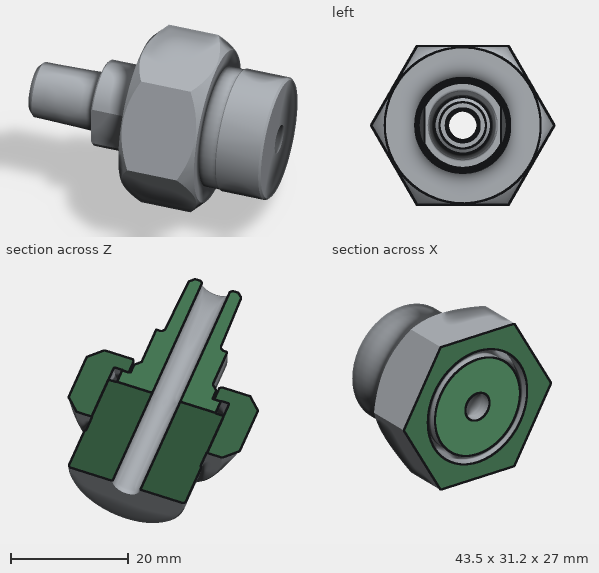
import cadquery as cq
import math

tip_x = 0.0
cone_end_x = 11.2
shoulder_x = 11.95
nut_front_x = 19.0
flange_front_x = 21.75
flange_back_x = 24.35
nut_back_x = 32.5
collar_x = 35.35
sleeve_end_x = 43.5

bore_diameter = 5.0
bore_chamfer = 0.4
cone_tip_diameter = 9.6
cone_base_diameter = 10.2
tip_chamfer = 0.85
tip_chamfer_width = 0.83
root_fillet_diameter = 11.75
shoulder_diameter = 15.0
shoulder_chamfer = 0.25
flange_diameter = 18.0
across_flats = 13.0

hexagon_across_flats = 27.0
hexagon_across_corners = hexagon_across_flats / math.cos(math.pi / 6)
nut_face_diameter = 26.55
nut_bore_diameter = 15.5
nut_bore_chamfer = 0.35

neck_diameter = 20.9
collar_diameter = 21.3
collar_end_chamfer = 0.35


def cylinder(diameter, start_x, end_x):
    """Solid cylinder on the X axis."""
    return cq.Workplane("YZ", origin=(start_x, 0, 0)).circle(diameter / 2).extrude(end_x - start_x)


def revolve_about_x(profile):
    """Revolve a closed XY profile a full turn about the X axis."""
    return profile.close().revolve(360, (0, 0, 0), (1, 0, 0))


def countersink(diameter, depth, start_x):
    """45 degree cone that narrows in +X from a hole edge of the given diameter."""
    profile = (
        cq.Workplane("XY")
        .moveTo(start_x, 0)
        .lineTo(start_x, diameter / 2 + depth)
        .lineTo(start_x + depth, diameter / 2)
        .lineTo(start_x + depth, 0)
    )
    return revolve_about_x(profile)


def wrench_flat_cut(side):
    """Cutter for one wrench flat, which runs out at 45 degrees inside the nut."""
    flat_y = across_flats / 2
    clear_y = flange_diameter / 2
    runout_x = nut_front_x + clear_y - flat_y
    points = [
        (shoulder_x, side * flat_y),
        (nut_front_x, side * flat_y),
        (runout_x, side * clear_y),
        (shoulder_x, side * clear_y),
    ]
    return cq.Workplane("XY").polyline(points).close().extrude(shoulder_diameter / 2, both=True)


def make_stem():
    """Tapered spigot, filleted into a shoulder with wrench flats, and a captive flange."""
    cone_base_radius = cone_base_diameter / 2
    fillet_length = shoulder_x - cone_end_x
    fillet_height = root_fillet_diameter / 2 - cone_base_radius
    fillet_middle = (
        cone_end_x + fillet_length * math.sin(math.pi / 4),
        cone_base_radius + fillet_height * (1 - math.cos(math.pi / 4)),
    )
    profile = (
        cq.Workplane("XY")
        .moveTo(tip_x, 0)
        .lineTo(tip_x, cone_tip_diameter / 2 - tip_chamfer)
        .lineTo(tip_x + tip_chamfer_width, cone_tip_diameter / 2)
        .lineTo(cone_end_x, cone_base_radius)
        .threePointArc(fillet_middle, (shoulder_x, root_fillet_diameter / 2))
        .lineTo(shoulder_x, shoulder_diameter / 2 - shoulder_chamfer)
        .lineTo(shoulder_x + shoulder_chamfer, shoulder_diameter / 2)
        .lineTo(flange_front_x, shoulder_diameter / 2)
        .lineTo(flange_front_x, flange_diameter / 2)
        .lineTo(flange_back_x, flange_diameter / 2)
        .lineTo(flange_back_x, 0)
    )
    body = revolve_about_x(profile)
    for side in (-1, 1):
        body = body.cut(wrench_flat_cut(side))
    body = body.cut(cylinder(bore_diameter, tip_x, flange_back_x))
    return body.cut(countersink(bore_diameter, bore_chamfer, tip_x))


def make_nut():
    """Hexagon with both ends turned to 45 degree cones, bored for the stem and the sleeve."""
    length = nut_back_x - nut_front_x
    hexagon = (
        cq.Workplane("YZ", origin=(nut_front_x, 0, 0))
        .polygon(6, hexagon_across_corners)
        .extrude(length)
    )
    corner_chamfer = (hexagon_across_corners - nut_face_diameter) / 2
    envelope = cylinder(hexagon_across_corners, nut_front_x, nut_back_x).edges().chamfer(corner_chamfer)
    return (
        hexagon.intersect(envelope)
        .cut(cylinder(nut_bore_diameter, nut_front_x, flange_front_x))
        .cut(countersink(nut_bore_diameter, nut_bore_chamfer, nut_front_x))
        .cut(cylinder(neck_diameter, flange_front_x, nut_back_x))
    )


def make_sleeve():
    """Neck seated in the nut, behind the flange, with a wider chamfered collar outside."""
    neck = cylinder(neck_diameter, flange_back_x, collar_x)
    collar = (
        cylinder(collar_diameter, collar_x, sleeve_end_x)
        .faces("<X").chamfer((collar_diameter - neck_diameter) / 2)
        .faces(">X").chamfer(collar_end_chamfer)
    )
    return neck.union(collar).cut(cylinder(bore_diameter, flange_back_x, sleeve_end_x))


stem = make_stem()
nut = make_nut()
sleeve = make_sleeve()

result = cq.Compound.makeCompound([stem.solids().val(), nut.solids().val(), sleeve.solids().val()])